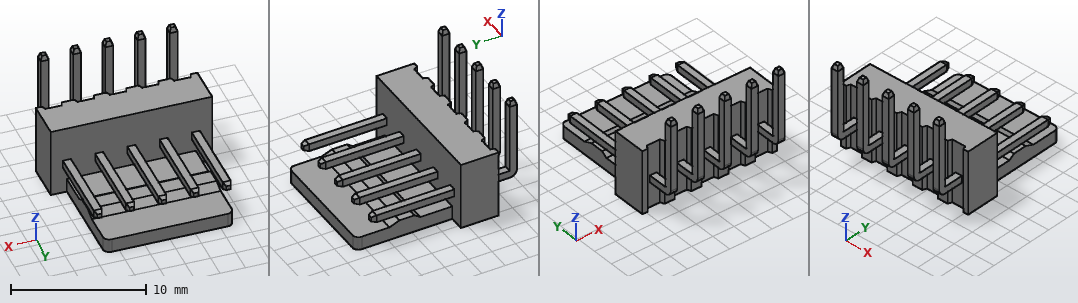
import cadquery as cq


pin_count = 5
pitch = 2.54
pin_width = 0.64
pin_axis_height = 2.61
pin_top = 9.2
pin_end = 12.33
tip_length = 0.39
tip_width = 0.37

block_width = 12.74
block_center = -0.02
block_front = 2.12
block_depth = 3.2
block_height = 5.8
block_back = block_front + block_depth

groove_depth = 0.35
groove_floor_width = 1.27
groove_mouth_width = 1.57

tongue_width = (pin_count - 1) * pitch
tongue_end = 13.52
tongue_thickness = 1.16
tongue_corner_radius = 0.5

ridge_top = 1.5
ridge_front = 8.05
ridge_crest_front = 8.55
ridge_crest_back = 9.82
ridge_back = 10.67

pin_positions = [(i - (pin_count - 1) / 2) * pitch for i in range(pin_count)]


def make_block():
    """Rectangular housing with a trapezoidal vertical groove at each pin."""
    block = cq.Workplane("XY").box(
        block_width, block_depth, block_height, centered=(True, False, False)
    ).translate((block_center, block_front, 0))
    half_mouth = groove_mouth_width / 2
    half_floor = groove_floor_width / 2
    groove_floor = block_front + groove_depth
    for x in pin_positions:
        groove = (
            cq.Workplane("XY")
            .polyline([
                (x - half_mouth, block_front),
                (x + half_mouth, block_front),
                (x + half_floor, groove_floor),
                (x - half_floor, groove_floor),
            ])
            .close()
            .extrude(block_height)
        )
        block = block.cut(groove)
    return block


def make_tongue():
    """Side profile with the latch ridge, extruded across X, with rounded free corners."""
    return (
        cq.Workplane("YZ")
        .polyline([
            (block_back, 0),
            (tongue_end, 0),
            (tongue_end, tongue_thickness),
            (ridge_back, tongue_thickness),
            (ridge_crest_back, ridge_top),
            (ridge_crest_front, ridge_top),
            (ridge_front, tongue_thickness),
            (block_back, tongue_thickness),
        ])
        .close()
        .extrude(tongue_width / 2, both=True)
        .edges("|Z and >Y")
        .fillet(tongue_corner_radius)
    )


def make_tip(base_plane):
    """Square pyramid frustum that ends a pin, standing on the given plane."""
    return (
        cq.Workplane(base_plane)
        .rect(pin_width, pin_width)
        .workplane(offset=tip_length)
        .rect(tip_width, tip_width)
        .loft(ruled=True)
    )


def make_pin():
    """L-shaped square pin at X = 0, sharp inside the bend and rounded outside."""
    pin_bottom = pin_axis_height - pin_width / 2
    shoulder_top = pin_top - tip_length
    shoulder_end = pin_end - tip_length
    leg = cq.Workplane("XY").box(
        pin_width, pin_width, shoulder_top - pin_bottom, centered=(True, False, False)
    ).translate((0, 0, pin_bottom))
    arm = cq.Workplane("XY").box(
        pin_width, shoulder_end, pin_width, centered=(True, False, False)
    ).translate((0, 0, pin_bottom))
    bent_bar = leg.union(arm).edges("|X and <Y and <Z").fillet(pin_width)

    top_plane = cq.Plane(origin=(0, pin_width / 2, shoulder_top), normal=(0, 0, 1))
    end_plane = cq.Plane(
        origin=(0, shoulder_end, pin_axis_height), xDir=(1, 0, 0), normal=(0, 1, 0)
    )
    return bent_bar.union(make_tip(top_plane)).union(make_tip(end_plane))


result = make_block().union(make_tongue())
pin = make_pin()
for x in pin_positions:
    result = result.union(pin.translate((x, 0, 0)))